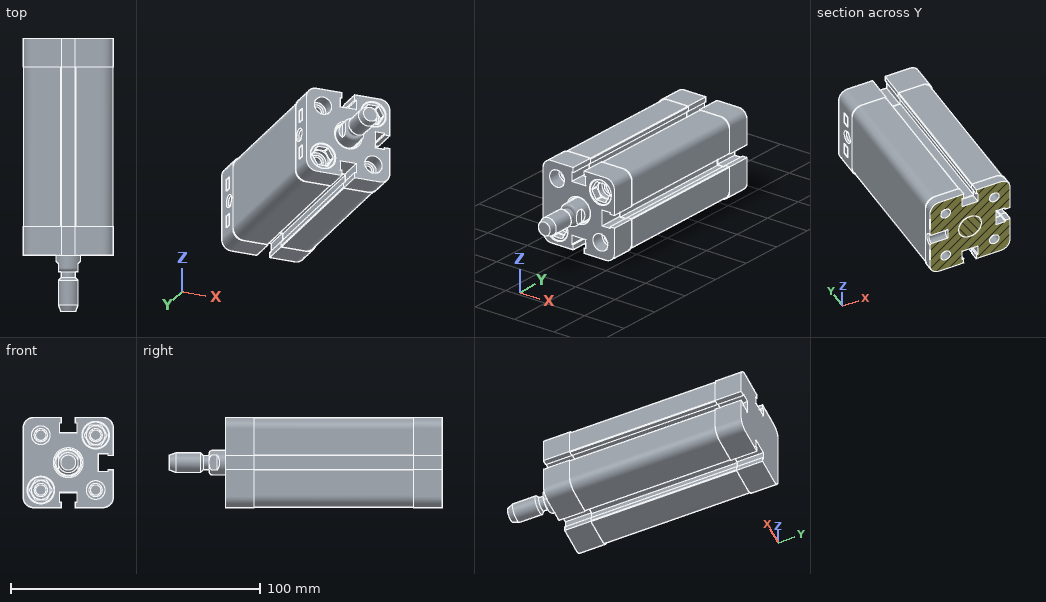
import cadquery as cq
import math


CAP_LENGTH = 11.5
BARREL_LENGTH = 64.0
BARREL_START = CAP_LENGTH
REAR_CAP_START = BARREL_START + BARREL_LENGTH

CAP_SIDE = 36.3
CAP_CORNER_RADIUS = 4.3
BARREL_SIDE = 36.0
BARREL_CORNER_RADIUS = 4.7

CAP_SLOT_MOUTH = 5.6
CAP_SLOT_WIDTH = 7.0
CAP_SLOT_FLOOR = 11.85
BARREL_SLOT_MOUTH = 5.6
BARREL_LIP_CHAMFER = 0.25
BARREL_SLOT_WIDTH = 7.4
BARREL_SLOT_FLOOR = 12.15
SLOT_LIP_FACE = 15.85
SLOT_DIRECTIONS = (0, 90, 180)

HOLE_OFFSET = 11.0
HOLE_BORE_DIAMETER = 7.5
HOLE_BORE_DEPTH = 6.0
THREAD_DIAMETER = 4.13
THREAD_MOUTH_DIAMETER = 5.3

SOCKET_RIM_DIAMETER = 11.1
SOCKET_FLOOR_DIAMETER = 10.48
SOCKET_RIM_DEPTH = 0.3
HEX_ACROSS_FLATS = 8.0
HEX_CORNER_DIAMETER = 9.0
HEX_DEPTH = 3.5

GUIDE_RIM_DIAMETER = 12.0
GUIDE_FLOOR_DIAMETER = 10.9
GUIDE_RIM_DEPTH = 0.5
GUIDE_DEPTH = 1.5

PORT_FROM_END = 7.5
PORT_DIAMETER = 4.13
PORT_MOUTH_DIAMETER = 5.4
PORT_DEPTH = 8.0
LABEL_FROM_END = 6.2
LABEL_OFFSET = 8.0
LABEL_LENGTH = 3.0
LABEL_WIDTH = 5.0
LABEL_DEPTH = 0.2

ROD_DIAMETER = 10.0
NECK_DIAMETER = 5.8
STUD_DIAMETER = 8.0
TIP_DIAMETER = 6.0
NOSE_RADIUS = 1.4
NECK_FILLET = 0.3
NECK_START = 6.6
NECK_END = 8.9
STUD_START = NECK_END + (STUD_DIAMETER - NECK_DIAMETER) / 2
TIP_START = 19.9
ROD_REACH = 22.6
WRENCH_FLATS = 8.0
FLATS_START = 3.35


def along_axis(start):
    """XZ workplane at the given Y with local axes -X and Z; extrusions run towards +Y."""
    return cq.Workplane(cq.Plane(origin=(0, start, 0), xDir=(-1, 0, 0), normal=(0, 1, 0)))


def cylinder(diameter, length, x=0, z=0):
    """Cylinder along +Y that starts at the front cap's face."""
    return cq.Workplane(
        cq.Solid.makeCylinder(diameter / 2, length, cq.Vector(x, 0, z), cq.Vector(0, 1, 0)))


def cone(start_diameter, end_diameter, start, length, x=0, z=0):
    """Round solid along +Y that changes evenly from one diameter to the other."""
    return cq.Workplane(cq.Solid.makeCone(
        start_diameter / 2, end_diameter / 2, length, cq.Vector(x, start, z), cq.Vector(0, 1, 0)))


def slotted_block(side, corner_radius, mouth, width, floor, start, length):
    """Rounded square bar along Y with a T-slot in its top, bottom and +X sides."""
    block = along_axis(start).rect(side, side).extrude(length).edges("|Y").fillet(corner_radius)
    centre_y = start + length / 2
    mouth_height = side / 2 - floor
    throat_height = SLOT_LIP_FACE - floor
    slot = cq.Workplane().box(mouth, length, mouth_height).translate(
        (0, centre_y, floor + mouth_height / 2))
    throat = cq.Workplane().box(width, length, throat_height).translate(
        (0, centre_y, floor + throat_height / 2))
    slot = slot.union(throat)
    for turn in SLOT_DIRECTIONS:
        block = block.cut(slot.rotate((0, 0, 0), (0, 1, 0), turn))
    return block


def plain_cap(start):
    return slotted_block(
        CAP_SIDE, CAP_CORNER_RADIUS, CAP_SLOT_MOUTH, CAP_SLOT_WIDTH, CAP_SLOT_FLOOR, start, CAP_LENGTH)


def cut_side_details(cap, end, inward):
    """Cut the air port and both label panels; `inward` is +1 or -1, from the cap's end along Y."""
    face = -CAP_SIDE / 2
    port_centre = cq.Vector(face, end + inward * PORT_FROM_END, 0)
    into_side = cq.Vector(1, 0, 0)
    mouth_depth = (PORT_MOUTH_DIAMETER - PORT_DIAMETER) / 2
    cap = cap.cut(cq.Workplane(
        cq.Solid.makeCylinder(PORT_DIAMETER / 2, PORT_DEPTH, port_centre, into_side)))
    cap = cap.cut(cq.Workplane(cq.Solid.makeCone(
        PORT_MOUTH_DIAMETER / 2, PORT_DIAMETER / 2, mouth_depth, port_centre, into_side)))
    for z in (-LABEL_OFFSET, LABEL_OFFSET):
        panel = cq.Workplane().box(LABEL_DEPTH, LABEL_LENGTH, LABEL_WIDTH)
        cap = cap.cut(panel.translate((face + LABEL_DEPTH / 2, end + inward * LABEL_FROM_END, z)))
    return cap


def mounting_hole(x, z):
    """Plain bore with a smaller hole, countersunk and as deep as the cap, at its bottom."""
    mouth_depth = (THREAD_MOUTH_DIAMETER - THREAD_DIAMETER) / 2
    bore = cylinder(HOLE_BORE_DIAMETER, HOLE_BORE_DEPTH, x, z)
    mouth = cone(THREAD_MOUTH_DIAMETER, THREAD_DIAMETER, HOLE_BORE_DEPTH, mouth_depth, x, z)
    thread = cylinder(THREAD_DIAMETER, CAP_LENGTH, x, z)
    return bore.union(mouth).union(thread)


def hex_socket(x, z):
    """Tapered round recess with a hexagon, its corners rounded off, at its bottom."""
    recess = cone(SOCKET_RIM_DIAMETER, SOCKET_FLOOR_DIAMETER, 0, SOCKET_RIM_DEPTH, x, z)
    corner_to_corner = HEX_ACROSS_FLATS / math.cos(math.pi / 6)
    hexagon = along_axis(0).polygon(6, corner_to_corner).extrude(HEX_DEPTH).translate((x, 0, z))
    hexagon = hexagon.intersect(cylinder(HEX_CORNER_DIAMETER, HEX_DEPTH, x, z))
    return recess.union(hexagon)


def make_front_cap():
    cap = cut_side_details(plain_cap(0), 0, 1)
    for x in (-HOLE_OFFSET, HOLE_OFFSET):
        for z in (-HOLE_OFFSET, HOLE_OFFSET):
            cap = cap.cut(mounting_hole(x, z))
            if x == z:
                cap = cap.cut(hex_socket(x, z))
    cap = cap.cut(cylinder(ROD_DIAMETER, CAP_LENGTH))
    cap = cap.cut(cone(GUIDE_RIM_DIAMETER, GUIDE_FLOOR_DIAMETER, 0, GUIDE_RIM_DEPTH))
    cap = cap.cut(cylinder(GUIDE_FLOOR_DIAMETER, GUIDE_DEPTH))
    return cap


def make_barrel():
    barrel = slotted_block(
        BARREL_SIDE, BARREL_CORNER_RADIUS, BARREL_SLOT_MOUTH, BARREL_SLOT_WIDTH, BARREL_SLOT_FLOOR,
        BARREL_START, BARREL_LENGTH)
    bevel_side = BARREL_LIP_CHAMFER * math.sqrt(2)
    bevel = cq.Workplane().box(bevel_side, BARREL_LENGTH, bevel_side).rotate((0, 0, 0), (0, 1, 0), 45)
    bevel_y = BARREL_START + BARREL_LENGTH / 2
    for turn in SLOT_DIRECTIONS:
        for x in (-BARREL_SLOT_MOUTH / 2, BARREL_SLOT_MOUTH / 2):
            lip_bevel = bevel.translate((x, bevel_y, BARREL_SIDE / 2))
            barrel = barrel.cut(lip_bevel.rotate((0, 0, 0), (0, 1, 0), turn))
    return barrel


def make_rear_cap():
    return cut_side_details(plain_cap(REAR_CAP_START), REAR_CAP_START + CAP_LENGTH, -1)


def make_rod():
    """Rod turned about Y, from the barrel's front face to the stud tip, with two wrench flats."""
    rod = (
        cq.Workplane("XY")
        .moveTo(0, CAP_LENGTH)
        .lineTo(ROD_DIAMETER / 2, CAP_LENGTH)
        .lineTo(ROD_DIAMETER / 2, NOSE_RADIUS - NECK_START)
        .radiusArc((ROD_DIAMETER / 2 - NOSE_RADIUS, -NECK_START), NOSE_RADIUS)
        .lineTo(NECK_DIAMETER / 2 + NECK_FILLET, -NECK_START)
        .radiusArc((NECK_DIAMETER / 2, -NECK_START - NECK_FILLET), -NECK_FILLET)
        .lineTo(NECK_DIAMETER / 2, -NECK_END)
        .lineTo(STUD_DIAMETER / 2, -STUD_START)
        .lineTo(STUD_DIAMETER / 2, -TIP_START)
        .lineTo(TIP_DIAMETER / 2, -ROD_REACH)
        .lineTo(0, -ROD_REACH)
        .close()
        .revolve(360, (0, 0), (0, 1))
    )
    flat = WRENCH_FLATS / 2
    rim = ROD_DIAMETER / 2
    flat_cut = (
        cq.Workplane("XY")
        .moveTo(flat, -NECK_START)
        .lineTo(flat, -FLATS_START)
        .lineTo(rim, -FLATS_START + rim - flat)
        .lineTo(rim, -NECK_START)
        .close()
        .extrude(rim, both=True)
    )
    return rod.cut(flat_cut).cut(flat_cut.mirror("YZ"))


front_cap = make_front_cap()
barrel = make_barrel()
rear_cap = make_rear_cap()
rod = make_rod()

result = cq.Compound.makeCompound([front_cap.val(), barrel.val(), rear_cap.val(), rod.val()])